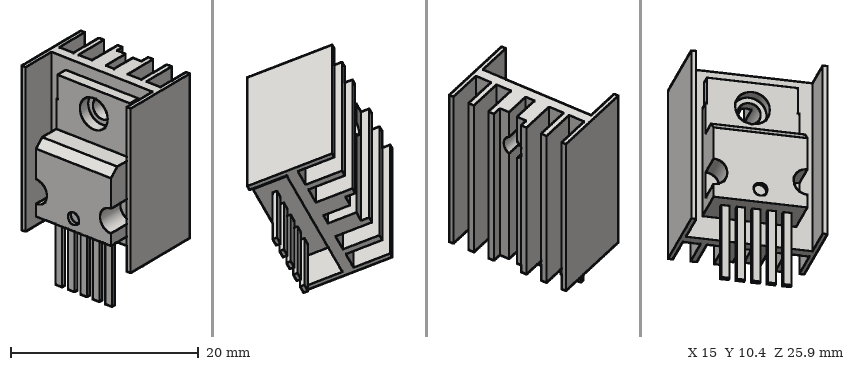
import cadquery as cq

OVERALL_HEIGHT = 25.9
OVERALL_DEPTH = 10.45

SINK_WIDTH = 15.0
SINK_HEIGHT = 20.0
SINK_BOTTOM = OVERALL_HEIGHT - SINK_HEIGHT
WALL_DEPTH = 10.0
WALL_THICKNESS = 0.55
FIN_LENGTH = 4.3
BASE_THICKNESS = 1.32
FIN_THICKNESS = 0.7
FIN_OFFSET = 2.49
BLOCK_OFFSET = 5.05
CENTRE_SLOT_WIDTH = 1.15
LEFT_STEP_DEPTH = 0.95
RIGHT_STEP_DEPTH = 1.15
SCREW_HOLE_DIAMETER = 2.5

CASE_WIDTH = 10.3
CASE_BOTTOM = 8.57
CASE_TOP = 17.77
CASE_CHAMFER_DEPTH = 1.05
CASE_CHAMFER_HEIGHT = 0.95
TAB_TOP = 24.4
TAB_THICKNESS = 1.4
TAB_UPPER_WIDTH = 10.0
TAB_HOLE_DIAMETER = 3.8
HOLE_HEIGHT = 21.4
NOTCH_DIAMETER = 3.0
NOTCH_HEIGHT = 11.6
DIMPLE_DIAMETER = 1.5
DIMPLE_HEIGHT = 10.1
DIMPLE_DEPTH = 0.5
LEAD_COUNT = 5
LEAD_PITCH = 1.7
LEAD_WIDTH = 0.9
LEAD_THICKNESS = 0.52
LEAD_REAR = 8.2

BASE_FRONT = -(FIN_LENGTH + BASE_THICKNESS)
TAB_FRONT = BASE_FRONT - TAB_THICKNESS
CASE_FRONT = -OVERALL_DEPTH


def box(x_min, x_max, y_min, y_max, z_min, z_max):
    """Box between the given limits."""
    size = (x_max - x_min, y_max - y_min, z_max - z_min)
    return cq.Workplane("XY").box(*size, centered=False).translate((x_min, y_min, z_min))


def centred_box(width, y_min, y_max, z_min, z_max):
    """Box of the given width, symmetric about X = 0."""
    return box(-width / 2, width / 2, y_min, y_max, z_min, z_max)


def cylinder_along_y(diameter, x, z, y_min, y_max):
    """Cylinder with its axis along Y."""
    profile = cq.Workplane("XZ", origin=(x, y_max, z)).circle(diameter / 2)
    return profile.extrude(y_max - y_min)


def make_heatsink():
    """Finned extrusion with two long side walls and a screw hole."""
    half_width = SINK_WIDTH / 2
    fin_outer = half_width - FIN_OFFSET
    block_outer = half_width - BLOCK_OFFSET

    def bar(x_min, x_max, y_min, y_max):
        return box(x_min, x_max, y_min, y_max, SINK_BOTTOM, OVERALL_HEIGHT)

    heatsink = bar(-half_width, half_width, BASE_FRONT, -FIN_LENGTH)
    for side, step_depth in ((-1, LEFT_STEP_DEPTH), (1, RIGHT_STEP_DEPTH)):
        strips = (
            (half_width, half_width - WALL_THICKNESS, -WALL_DEPTH, 0),
            (fin_outer, fin_outer - FIN_THICKNESS, -FIN_LENGTH, 0),
            (block_outer, block_outer - FIN_THICKNESS, -FIN_LENGTH, 0),
            (block_outer, CENTRE_SLOT_WIDTH / 2, -FIN_LENGTH, -step_depth),
        )
        for outer, inner, front, rear in strips:
            x_min, x_max = sorted((side * outer, side * inner))
            heatsink = heatsink.union(bar(x_min, x_max, front, rear))

    return heatsink.cut(cylinder_along_y(SCREW_HOLE_DIAMETER, 0, HOLE_HEIGHT, BASE_FRONT, 0))


def make_case():
    """Moulded case with a chamfered top front edge, side notches and a dimple."""
    profile = [
        (TAB_FRONT, CASE_BOTTOM),
        (TAB_FRONT, CASE_TOP),
        (CASE_FRONT + CASE_CHAMFER_DEPTH, CASE_TOP),
        (CASE_FRONT, CASE_TOP - CASE_CHAMFER_HEIGHT),
        (CASE_FRONT, CASE_BOTTOM),
    ]
    case = cq.Workplane("YZ").polyline(profile).close().extrude(CASE_WIDTH / 2, both=True)
    for x in (-CASE_WIDTH / 2, CASE_WIDTH / 2):
        case = case.cut(cylinder_along_y(NOTCH_DIAMETER, x, NOTCH_HEIGHT, CASE_FRONT, TAB_FRONT))
    dimple_floor = CASE_FRONT + DIMPLE_DEPTH
    return case.cut(cylinder_along_y(DIMPLE_DIAMETER, 0, DIMPLE_HEIGHT, CASE_FRONT, dimple_floor))


def make_tab():
    """Mounting tab behind the case, narrower above the centre of its hole."""
    lower = centred_box(CASE_WIDTH, TAB_FRONT, BASE_FRONT, CASE_BOTTOM, HOLE_HEIGHT)
    upper = centred_box(TAB_UPPER_WIDTH, TAB_FRONT, BASE_FRONT, HOLE_HEIGHT, TAB_TOP)
    hole = cylinder_along_y(TAB_HOLE_DIAMETER, 0, HOLE_HEIGHT, TAB_FRONT, BASE_FRONT)
    return lower.union(upper).cut(hole)


def make_package():
    """Case, tab and leads as one body."""
    package = make_tab().union(make_case())
    lead_front = -LEAD_REAR - LEAD_THICKNESS
    lead = centred_box(LEAD_WIDTH, lead_front, -LEAD_REAR, 0, CASE_BOTTOM)
    for index in range(LEAD_COUNT):
        x = (index - (LEAD_COUNT - 1) / 2) * LEAD_PITCH
        package = package.union(lead.translate((x, 0, 0)))
    return package


heatsink = make_heatsink()
package = make_package()

result = cq.Compound.makeCompound([heatsink.val(), package.val()])